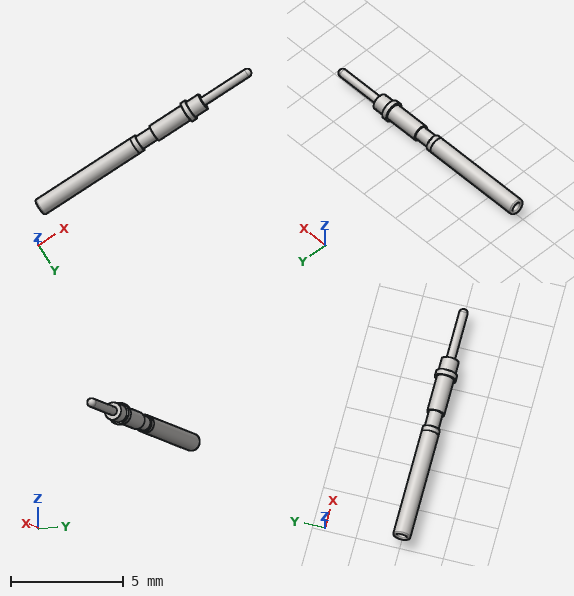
import cadquery as cq

total_length = 11.28

body_diameter = 0.79
bore_diameter = 0.45
sleeve_length = 5.1

shoulder_length = 0.25
neck_diameter = 0.64
neck_length = 0.78
barrel_end = 8.73
collar_diameter = 0.97
collar_start = 7.84
collar_width = 0.25
tail_diameter = 0.4

body_radius = body_diameter / 2
bore_radius = bore_diameter / 2
neck_start = sleeve_length + shoulder_length
neck_end = neck_start + neck_length
tail_radius = tail_diameter / 2


def cylinder_along_x(start, end, diameter):
    """Solid cylinder centred on the X axis between two X positions."""
    return cq.Workplane("YZ", origin=(start, 0, 0)).circle(diameter / 2).extrude(end - start)


def make_sleeve():
    """Tube whose open mouth is rounded across the whole wall thickness."""
    mouth_radius = (body_radius - bore_radius) / 2
    wall_section = (
        cq.Workplane("XY")
        .moveTo(sleeve_length, bore_radius)
        .lineTo(mouth_radius, bore_radius)
        .threePointArc((0, bore_radius + mouth_radius), (mouth_radius, body_radius))
        .lineTo(sleeve_length, body_radius)
        .close()
    )
    return wall_section.revolve(360, (0, 0, 0), (1, 0, 0))


def make_tail():
    """Thin round tail ending in a hemisphere."""
    dome_center = total_length - tail_radius
    shaft = cylinder_along_x(barrel_end, dome_center, tail_diameter)
    dome = cq.Workplane("XY").sphere(tail_radius).translate((dome_center, 0, 0))
    return shaft.union(dome)


def make_contact():
    """Stepped contact body that closes the inner end of the sleeve."""
    shoulder = cylinder_along_x(sleeve_length, neck_start, body_diameter)
    neck = cylinder_along_x(neck_start, neck_end, neck_diameter)
    barrel = cylinder_along_x(neck_end, barrel_end, body_diameter)
    collar = cylinder_along_x(collar_start, collar_start + collar_width, collar_diameter)
    return shoulder.union(neck).union(barrel).union(collar).union(make_tail())


sleeve = make_sleeve()
contact = make_contact()

result = cq.Compound.makeCompound([sleeve.val(), contact.val()])